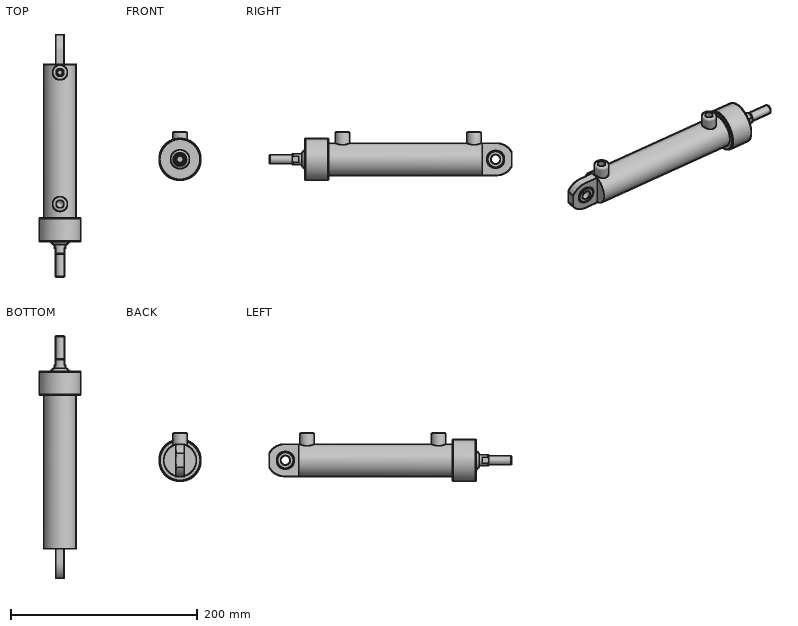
import cadquery as cq
import math


overall_length = 260.5
overall_height = 52.0

barrel_diameter = 35.0
barrel_rear_y = -14.3
gland_diameter = 45.0
gland_rear_y = -179.2
gland_length = 25.8
gland_front_y = gland_rear_y - gland_length
gland_chamfer = 1.0
wiper_base_diameter = 20.3
wiper_tip_diameter = 14.0
wiper_length = (wiper_base_diameter - wiper_tip_diameter) / 2
wiper_front_y = gland_front_y - wiper_length

lug_thickness = 9.0
lug_end_y = 17.5
lug_end_flat = 15.0
lug_shoulder_y = 0.8
lug_half_height = barrel_diameter / 2

bearing_diameter = 19.0
bearing_bore = 10.0
bearing_chamfer = 1.0

port_diameter = 16.0
port_top_z = overall_height - gland_diameter / 2
port_fillet = 2.3
port_bore = 8.3
port_bore_depth = 13.0
drill_point_angle = 118
rear_port_y = -23.2
front_port_y = -164.5
rear_port_flat = 5.7
front_port_flat = 0

rod_diameter = 12.0
rod_tip_y = lug_end_y - overall_length
rod_shoulder_y = -218.3
shoulder_chamfer_length = 1.3
shoulder_face_diameter = 11.0
thread_diameter = 10.0
thread_chamfer = 1.3
wrench_flat_width = 10.0
wrench_flat_rear_y = -211.5


def cylinder_along_y(diameter, start_y, end_y):
    """Cylinder on the Y axis, from start_y forward to the lower end_y."""
    return cq.Workplane("XZ", origin=(0, start_y, 0)).circle(diameter / 2).extrude(start_y - end_y)


def make_lug():
    """Plate with a flat end and two rounded corners that run into its straight sides."""
    run = lug_end_y - lug_shoulder_y
    drop = lug_half_height - lug_end_flat / 2
    radius = (run**2 + drop**2) / (2 * drop)
    half_angle = math.asin(run / radius) / 2
    mid_y = lug_shoulder_y + radius * math.sin(half_angle)
    mid_z = lug_half_height - radius * (1 - math.cos(half_angle))
    return (
        cq.Workplane("YZ", origin=(-lug_thickness / 2, 0, 0))
        .moveTo(barrel_rear_y, -lug_half_height)
        .lineTo(lug_shoulder_y, -lug_half_height)
        .threePointArc((mid_y, -mid_z), (lug_end_y, -lug_end_flat / 2))
        .lineTo(lug_end_y, lug_end_flat / 2)
        .threePointArc((mid_y, mid_z), (lug_shoulder_y, lug_half_height))
        .lineTo(barrel_rear_y, lug_half_height)
        .close()
        .extrude(lug_thickness)
    )


def make_gland():
    """Chamfered collar with a conical wiper seat on its front face."""
    collar = cylinder_along_y(gland_diameter, gland_rear_y, gland_front_y)
    collar = collar.edges().chamfer(gland_chamfer)
    cone = cq.Solid.makeCone(
        wiper_base_diameter / 2,
        wiper_tip_diameter / 2,
        wiper_length,
        pnt=cq.Vector(0, gland_front_y, 0),
        dir=cq.Vector(0, -1, 0),
    )
    return collar.union(cq.Workplane(obj=cone))


def make_port(port_y):
    """Upright port boss with a rounded rim, starting on the barrel axis."""
    boss = cq.Workplane("XY", origin=(0, port_y, 0)).circle(port_diameter / 2).extrude(port_top_z)
    return boss.faces(">Z").edges().fillet(port_fillet)


def make_port_bore(port_y, flat_diameter):
    """Blind drilled hole; its conical end stops at a flat of the given diameter."""
    bore_radius = port_bore / 2
    flat_radius = flat_diameter / 2
    shoulder_z = port_top_z - port_bore_depth
    point_length = (bore_radius - flat_radius) / math.tan(math.radians(drill_point_angle / 2))
    bottom_z = shoulder_z - point_length
    profile = cq.Workplane("XZ", origin=(0, port_y, 0)).moveTo(0, bottom_z)
    if flat_radius > 0:
        profile = profile.lineTo(flat_radius, bottom_z)
    return (
        profile.lineTo(bore_radius, shoulder_z)
        .lineTo(bore_radius, port_top_z)
        .lineTo(0, port_top_z)
        .close()
        .revolve(360, (0, 0), (0, 1))
    )


def bearing_envelope():
    """Full cylinder of the bearing across the lug, which is also the shape of its seat."""
    return cq.Workplane("YZ").circle(bearing_diameter / 2).extrude(lug_thickness / 2, both=True)


def make_housing():
    """Barrel, gland, lug and ports in one piece, with the bearing seat and the rod hole."""
    housing = cylinder_along_y(barrel_diameter, barrel_rear_y, gland_rear_y)
    housing = housing.union(make_gland()).union(make_lug())
    for port_y, flat_diameter in ((rear_port_y, rear_port_flat), (front_port_y, front_port_flat)):
        housing = housing.union(make_port(port_y)).cut(make_port_bore(port_y, flat_diameter))
    rod_hole = cylinder_along_y(rod_diameter, gland_rear_y, wiper_front_y)
    return housing.cut(bearing_envelope()).cut(rod_hole)


def make_bearing():
    """Bushing flush with the lug, chamfered at its outer rims."""
    bearing = bearing_envelope().edges().chamfer(bearing_chamfer)
    return bearing.faces(">X").workplane().hole(bearing_bore)


def make_rod():
    """Turned rod with a shoulder, a threaded end and two wrench flats facing +X and -X."""
    rod_radius = rod_diameter / 2
    thread_radius = thread_diameter / 2
    rod = (
        cq.Workplane("XY")
        .moveTo(0, gland_rear_y)
        .lineTo(rod_radius, gland_rear_y)
        .lineTo(rod_radius, rod_shoulder_y + shoulder_chamfer_length)
        .lineTo(shoulder_face_diameter / 2, rod_shoulder_y)
        .lineTo(thread_radius, rod_shoulder_y)
        .lineTo(thread_radius, rod_tip_y + thread_chamfer)
        .lineTo(thread_radius - thread_chamfer, rod_tip_y)
        .lineTo(0, rod_tip_y)
        .close()
        .revolve(360, (0, 0), (0, 1))
    )
    flat_length = wrench_flat_rear_y - rod_shoulder_y
    for side in (-1, 1):
        cutter = cq.Workplane("XY").box(rod_diameter, flat_length, rod_diameter)
        center_x = side * (wrench_flat_width + rod_diameter) / 2
        rod = rod.cut(cutter.translate((center_x, rod_shoulder_y + flat_length / 2, 0)))
    return rod


housing = make_housing()
bearing = make_bearing()
rod = make_rod()

result = cq.Compound.makeCompound([housing.val(), bearing.val(), rod.val()])